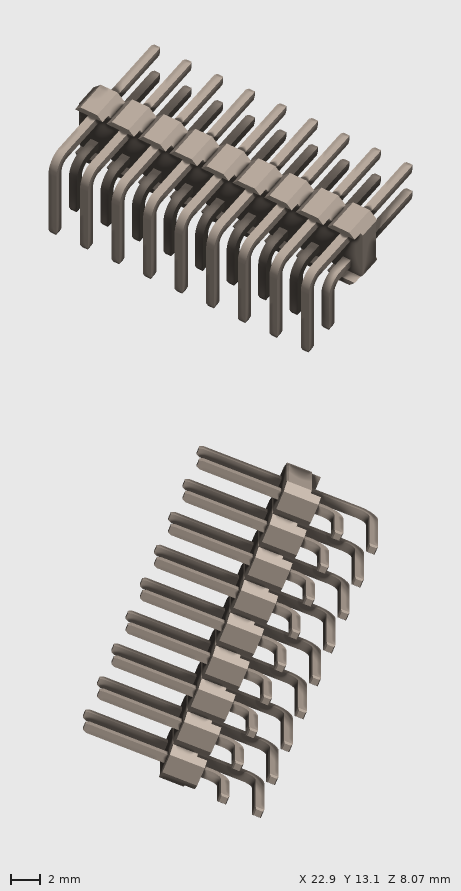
import cadquery as cq

length = 22.85
cell_count = 9
pitch = length / cell_count
row_spacing = pitch
height = 2 * row_spacing
depth = pitch
block_depth = 1.8
flange_thickness = 0.43
cell_chamfer = 0.6

score_depth = 0.14
score_half_width = 0.14
score_height = 3.52

pin_width = 0.65
rear_reach = 6.0
front_reach = 7.05
overall_height = 8.07
leg_end_z = height / 2 - overall_height
bend_inner_radius = 0.69
tip_length = 0.25
tip_inset = 0.1

cell_centers = [(i - (cell_count - 1) / 2) * pitch for i in range(cell_count)]
upper_leg_y = pin_width / 2 - front_reach


def make_cell(center_x):
    """Octagonal prism cut back at the middle of its front face, leaving a top and a bottom flange."""
    cell = (
        cq.Workplane("XZ")
        .rect(pitch, height)
        .extrude(depth)
        .edges("|Y")
        .chamfer(cell_chamfer)
    )
    recess_depth = depth - block_depth
    recess_height = height - 2 * flange_thickness
    recess_center = (0, recess_depth / 2 - depth, 0)
    recess = cq.Workplane("XY", origin=recess_center).box(pitch, recess_depth, recess_height)
    return cell.cut(recess).translate((center_x, 0, 0))


def make_score(boundary_x):
    """Vertical V-shaped prism at a cell boundary, cutting the rear face between the flanges."""
    return (
        cq.Workplane("XY", origin=(boundary_x, 0, -score_height / 2))
        .polyline([(-score_half_width, 0), (score_half_width, 0), (0, -score_depth)])
        .close()
        .extrude(score_height)
    )


def make_tip(wire_end):
    """Short pyramid frustum; wire_end is a workplane centred on the end of the wire."""
    end_width = pin_width - 2 * tip_inset
    return (
        wire_end.rect(pin_width, pin_width)
        .workplane(offset=tip_length)
        .rect(end_width, end_width)
        .loft()
    )


def make_pin(row_z, leg_y):
    """Horizontal wire at height row_z, bent into a vertical leg at leg_y, pointed at both ends."""
    half = pin_width / 2
    rear_y = rear_reach - tip_length
    foot_z = leg_end_z + tip_length
    outer_radius = bend_inner_radius + pin_width
    bend_y = leg_y + half + bend_inner_radius
    bend_z = row_z - half - bend_inner_radius
    wire = (
        cq.Workplane("YZ", origin=(-half, 0, 0))
        .moveTo(rear_y, row_z - half)
        .lineTo(rear_y, row_z + half)
        .lineTo(bend_y, row_z + half)
        .radiusArc((leg_y - half, bend_z), -outer_radius)
        .lineTo(leg_y - half, foot_z)
        .lineTo(leg_y + half, foot_z)
        .lineTo(leg_y + half, bend_z)
        .radiusArc((bend_y, row_z - half), bend_inner_radius)
        .close()
        .extrude(pin_width)
    )
    rear_end = cq.Workplane(cq.Plane((0, rear_y, row_z), (1, 0, 0), (0, 1, 0)))
    foot_end = cq.Workplane(cq.Plane((0, leg_y, foot_z), (1, 0, 0), (0, 0, -1)))
    return wire.union(make_tip(rear_end)).union(make_tip(foot_end))


upper_pin = make_pin(row_spacing / 2, upper_leg_y)
lower_pin = make_pin(-row_spacing / 2, upper_leg_y + row_spacing)

housing = make_cell(cell_centers[0])
for center_x in cell_centers[1:]:
    housing = housing.union(make_cell(center_x))
for i in range(cell_count + 1):
    housing = housing.cut(make_score(i * pitch - length / 2))

result = housing
for center_x in cell_centers:
    for pin in (upper_pin, lower_pin):
        result = result.union(pin.translate((center_x, 0, 0)))
result = result.clean()